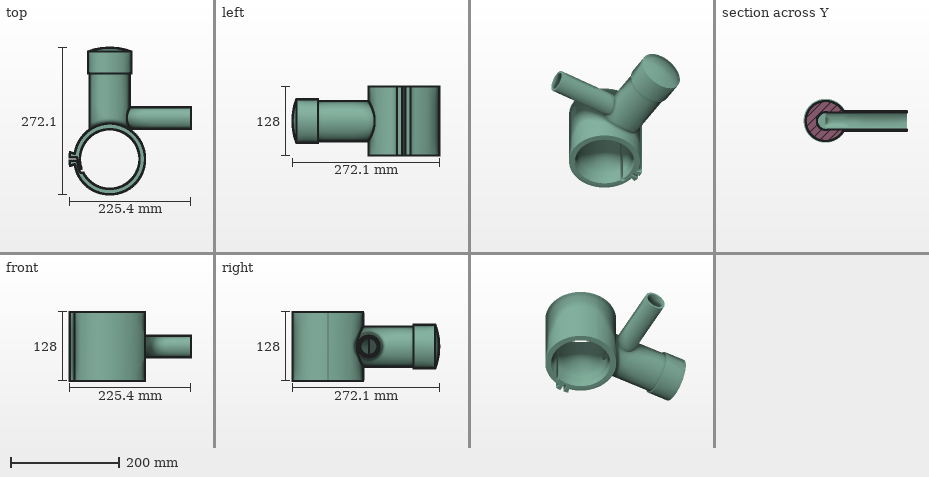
import cadquery as cq
import math

ring_height = 128.0
ring_outer_radius = 65.7
ring_inner_radius = 55.0

ear_tip_radius = 74.6
ear_root_half_width = 10.0
ear_tip_half_width = 12.7
ear_gap = 6.0
gap_corner_fillet = 2.5

tongue_outer_radius = 59.7
lip_inner_radius = 60.0
tongue_end_y = -18.5
pocket_end_y = -25.2
pocket_corner_fillet = 3.0
bore_overlap = 1.0

axis_height = ring_height / 2
branch_radius = 37.5
cap_radius = 40.7
cap_start_y = 158.5
cap_edge_y = 198.8
cap_apex_y = 206.44

side_radius = 20.0
side_axis_y = 76.0
side_end_x = 150.9

elbow_bore_radius = 16.0


def x_on_circle(radius, y):
    """X of the -X side point of a ring-centred circle at the given Y."""
    return -math.sqrt(radius**2 - y**2)


def along_z(radius):
    """Full-height cylinder on the ring axis."""
    return cq.Workplane("XY").circle(radius).extrude(ring_height)


def along_y(radius, end_y):
    """Cylinder on the main branch axis, from the ring axis to end_y."""
    plane = cq.Plane(origin=(0, 0, axis_height), xDir=(1, 0, 0), normal=(0, 1, 0))
    return cq.Workplane(plane).circle(radius).extrude(end_y)


def along_x(radius):
    """Cylinder on the side branch axis, from the main branch axis to the side end."""
    return (
        cq.Workplane("YZ")
        .center(side_axis_y, axis_height)
        .circle(radius)
        .extrude(side_end_x)
    )


def ring_wall_piece(inner_radius, outer_radius, top_y, bottom_y):
    """Full-height piece of a ring wall on the -X side, between two Y levels."""
    middle_y = (top_y + bottom_y) / 2

    def wall_point(radius, y):
        return (x_on_circle(radius, y), y)

    return (
        cq.Workplane("XY")
        .moveTo(*wall_point(inner_radius, top_y))
        .lineTo(*wall_point(outer_radius, top_y))
        .threePointArc(wall_point(outer_radius, middle_y), wall_point(outer_radius, bottom_y))
        .lineTo(*wall_point(inner_radius, bottom_y))
        .threePointArc(wall_point(inner_radius, middle_y), wall_point(inner_radius, top_y))
        .close()
        .extrude(ring_height)
    )


def make_cap():
    """Cap on the main branch, with a shallow spherical dome."""
    dome_rise = cap_apex_y - cap_edge_y
    dome_radius = (cap_radius**2 + dome_rise**2) / (2 * dome_rise)
    middle_angle = math.asin(cap_radius / dome_radius) / 2
    dome_middle = (
        dome_radius * math.sin(middle_angle),
        cap_apex_y - dome_radius * (1 - math.cos(middle_angle)),
    )
    return (
        cq.Workplane("XY", origin=(0, 0, axis_height))
        .moveTo(0, cap_start_y)
        .lineTo(cap_radius, cap_start_y)
        .lineTo(cap_radius, cap_edge_y)
        .threePointArc(dome_middle, (0, cap_apex_y))
        .close()
        .revolve(360, (0, 0, 0), (0, 1, 0))
    )


def make_ears():
    """Both ears as one flared block; the gap between them is cut separately."""
    root_x = x_on_circle(ring_outer_radius, ear_root_half_width)
    tip_x = x_on_circle(ear_tip_radius, ear_tip_half_width)
    inside_wall_x = -lip_inner_radius
    return (
        cq.Workplane("XY")
        .moveTo(inside_wall_x, ear_root_half_width)
        .lineTo(root_x, ear_root_half_width)
        .lineTo(tip_x, ear_tip_half_width)
        .threePointArc((-ear_tip_radius, 0), (tip_x, -ear_tip_half_width))
        .lineTo(root_x, -ear_root_half_width)
        .lineTo(inside_wall_x, -ear_root_half_width)
        .close()
        .extrude(ring_height)
    )


def make_ear_gap():
    """Slot between the ears, ending on the outside of the tongue."""
    length = ear_tip_radius - tongue_outer_radius
    return (
        cq.Workplane("XY")
        .box(length, ear_gap, ring_height, centered=(False, True, False))
        .translate((-ear_tip_radius, 0, 0))
        .edges("|Z and >X and >Y")
        .fillet(gap_corner_fillet)
    )


def make_slit():
    """Thin curved clearance between the tongue and the outer lip."""
    return ring_wall_piece(tongue_outer_radius, lip_inner_radius, 0, tongue_end_y)


def make_pocket():
    """Free space beyond the tongue end, open to the ring bore."""
    open_radius = ring_inner_radius - bore_overlap
    return (
        ring_wall_piece(open_radius, lip_inner_radius, tongue_end_y, pocket_end_y)
        .edges("|Z and <Y")
        .edges("<X")
        .fillet(pocket_corner_fillet)
    )


def make_elbow_bore():
    """Two equal bores that meet at a right angle inside the main branch."""
    return along_y(elbow_bore_radius, side_axis_y).union(along_x(elbow_bore_radius))


body = along_z(ring_outer_radius)
body = body.union(along_y(branch_radius, cap_start_y))
body = body.union(make_cap())
body = body.union(along_x(side_radius))
body = body.union(make_ears())

body = body.cut(along_z(ring_inner_radius))
body = body.cut(make_ear_gap())
body = body.cut(make_slit())
body = body.cut(make_pocket())
result = body.cut(make_elbow_bore())